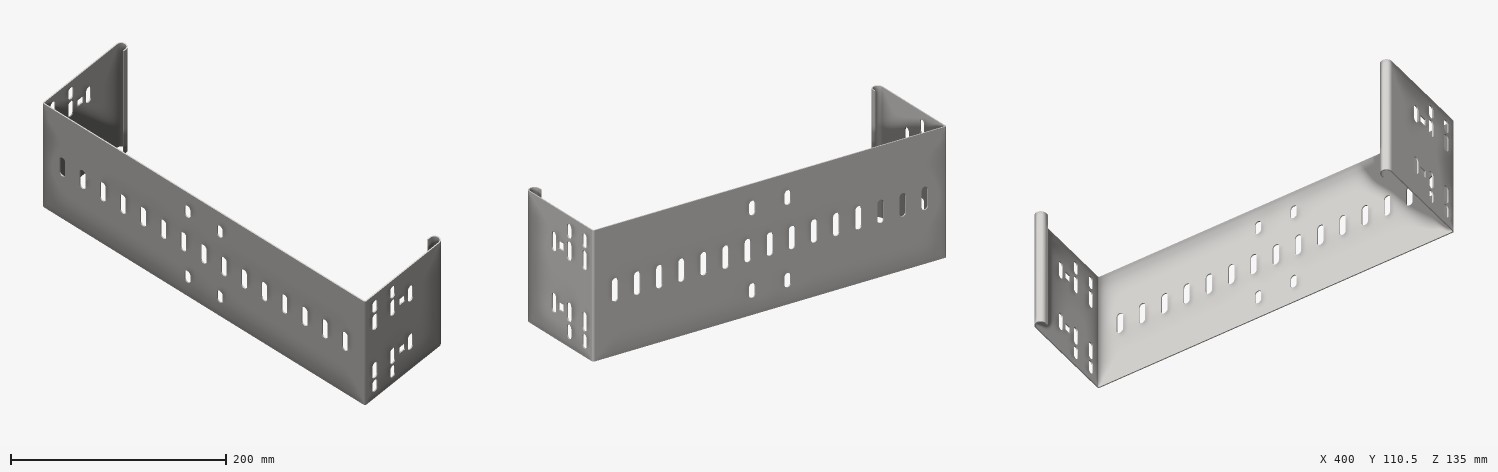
import cadquery as cq

length = 400.0
depth = 110.5
height = 135.0
sheet = 1.25
bend_radius = sheet + 1.0
hook_radius = 6.0
hook_start_y = depth - hook_radius
lip_length = 3.0

slot_width = 7.0
short_slot_length = 15.0

web_slot_count = 15
web_slot_pitch = 25.0
web_slot_length = 24.0
web_short_slot_x = 20.0
web_short_slot_z = 42.5

first_column_y = 14.0
column_pitch = 25.0
column_count = 3
short_slot_columns = 2
column_y = [first_column_y + column * column_pitch for column in range(column_count)]
wall_slot_length = 20.0
wall_slot_z = 31.5
wall_short_slot_z = 51.75

square_size = 8.0
square_y = 52.5


def half_channel():
    """The X > 0 half: half the web, the bend, the side wall and its rolled edge."""
    outer_x = length / 2
    inner_x = outer_x - sheet
    bend_center_x = outer_x - bend_radius
    hook_center_x = outer_x - hook_radius
    hook_inner_radius = hook_radius - sheet
    lip_inner_x = hook_center_x - hook_radius
    lip_outer_x = lip_inner_x + sheet
    lip_end_y = hook_start_y - lip_length

    return (
        cq.Workplane("XY")
        .workplane(offset=-height / 2)
        .moveTo(0, 0)
        .lineTo(bend_center_x, 0)
        .radiusArc((outer_x, bend_radius), -bend_radius)
        .lineTo(outer_x, hook_start_y)
        .threePointArc((hook_center_x, hook_start_y + hook_radius), (lip_inner_x, hook_start_y))
        .lineTo(lip_inner_x, lip_end_y)
        .lineTo(lip_outer_x, lip_end_y)
        .lineTo(lip_outer_x, hook_start_y)
        .threePointArc((hook_center_x, hook_start_y + hook_inner_radius), (inner_x, hook_start_y))
        .lineTo(inner_x, bend_radius)
        .radiusArc((bend_center_x, sheet), bend_radius - sheet)
        .lineTo(0, sheet)
        .close()
        .extrude(height)
    )


def channel():
    """U-shaped channel with the outer face of its web at Y = 0, centred on X and Z."""
    half = half_channel()
    return half.union(half.mirror("YZ")).clean()


def web_slots(slot_length, points):
    """Cutters through the web at the given (X, Z) points."""
    return (
        cq.Workplane("XZ")
        .pushPoints(points)
        .slot2D(slot_length, slot_width, angle=90)
        .extrude(-sheet)
    )


def wall_slots(slot_length, points):
    """Cutters through both side walls at the given (Y, Z) points."""
    return (
        cq.Workplane("YZ")
        .pushPoints(points)
        .slot2D(slot_length, slot_width, angle=90)
        .extrude(length / 2, both=True)
    )


def wall_squares(points):
    """Square cutters through both side walls at the given (Y, Z) points."""
    return (
        cq.Workplane("YZ")
        .pushPoints(points)
        .rect(square_size, square_size)
        .extrude(length / 2, both=True)
    )


def perforate_web(body):
    """A centred row of long slots with two short slots above and two below it."""
    first_x = -web_slot_pitch * (web_slot_count - 1) / 2
    row = [(first_x + slot * web_slot_pitch, 0) for slot in range(web_slot_count)]
    corners = [(side * web_short_slot_x, end * web_short_slot_z) for side in (-1, 1) for end in (-1, 1)]
    return body.cut(web_slots(web_slot_length, row)).cut(web_slots(short_slot_length, corners))


def perforate_walls(body):
    """The same slots and square holes in both walls, mirrored about Z = 0."""
    for end in (-1, 1):
        long_points = [(y, end * wall_slot_z) for y in column_y]
        short_points = [(y, end * wall_short_slot_z) for y in column_y[:short_slot_columns]]
        body = body.cut(wall_slots(wall_slot_length, long_points))
        body = body.cut(wall_slots(short_slot_length, short_points))
        body = body.cut(wall_squares([(square_y, end * wall_slot_z)]))
    return body


result = perforate_walls(perforate_web(channel()))